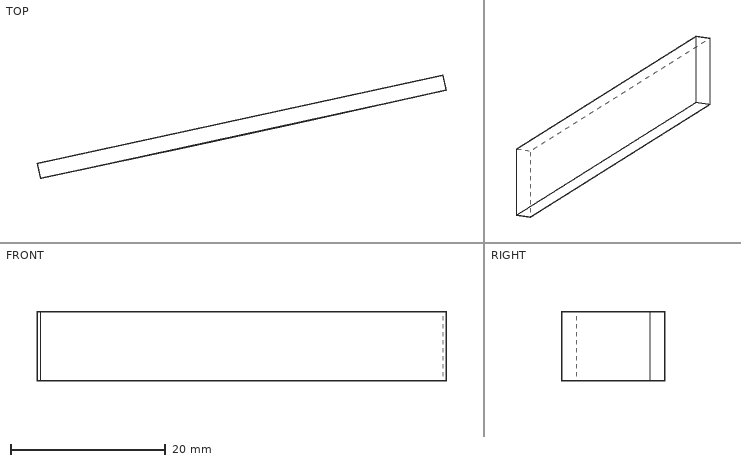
import cadquery as cq


length = 53.83
thickness = 2.0
height = 9.0
dome_rise = 0.12
turn_angle = 12.27


def domed_front(flat_front):
    """Surface on the edges of the flat front face, passing through a raised middle point."""
    middle = flat_front.Center() - cq.Vector(0, dome_rise, 0)
    return cq.Face.makeNSidedSurface(flat_front.Edges(), [middle])


def domed_bar():
    """Bar along X, centred on the origin, with its front face toward -Y."""
    block = cq.Workplane("XY").box(length, thickness, height)
    flat_faces = block.faces("not <Y").vals()
    front = domed_front(block.faces("<Y").val())
    shell = cq.Shell.makeShell(flat_faces + [front])
    return cq.Workplane(cq.Solid.makeSolid(shell))


result = domed_bar().rotate((0, 0, 0), (0, 0, 1), turn_angle)